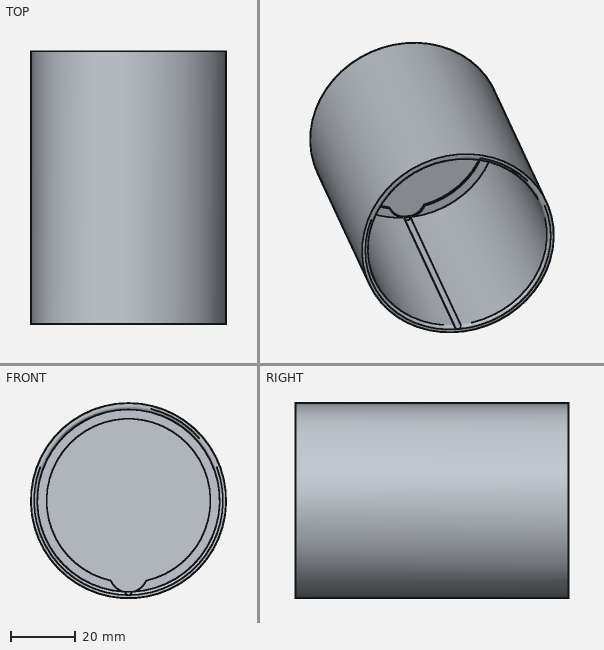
import cadquery as cq

length = 84.9
outer_radius = 30.4
bore_radius = 28.4
mouth_fillet = 1.0
floor_thickness = 2.0

recess_radius = 25.5
recess_depth = 1.0
notch_radius = 5.95
notch_center_z = -22.6

groove_radius = 1.0

front_y = -length / 2
floor_y = length / 2 - floor_thickness


def cylinder(radius, start_y, depth, center_z=0.0):
    """Cylinder along +Y from start_y, centred at X = 0."""
    return cq.Workplane(cq.Solid.makeCylinder(
        radius, depth, cq.Vector(0, start_y, center_z), cq.Vector(0, 1, 0)))


def make_body():
    """Plain cup with its mouth rounded on the inside edge."""
    cup = cylinder(outer_radius, front_y, length)
    cup = cup.cut(cylinder(bore_radius, front_y, length - floor_thickness))
    inner_rim = cq.selectors.RadiusNthSelector(0)
    return cup.faces("<Y").edges(inner_rim).fillet(mouth_fillet)


def make_recess():
    """Floor recess with its notch, kept within the bore radius."""
    disc = cylinder(recess_radius, floor_y, recess_depth)
    notch = cylinder(notch_radius, floor_y, recess_depth, notch_center_z)
    limit = cylinder(bore_radius, floor_y, recess_depth)
    return disc.union(notch.intersect(limit))


def make_groove():
    """Half-round groove centred on the bore wall, from the mouth to the cup floor."""
    return cylinder(groove_radius, front_y, floor_y - front_y, -bore_radius)


result = make_body().cut(make_recess()).cut(make_groove())